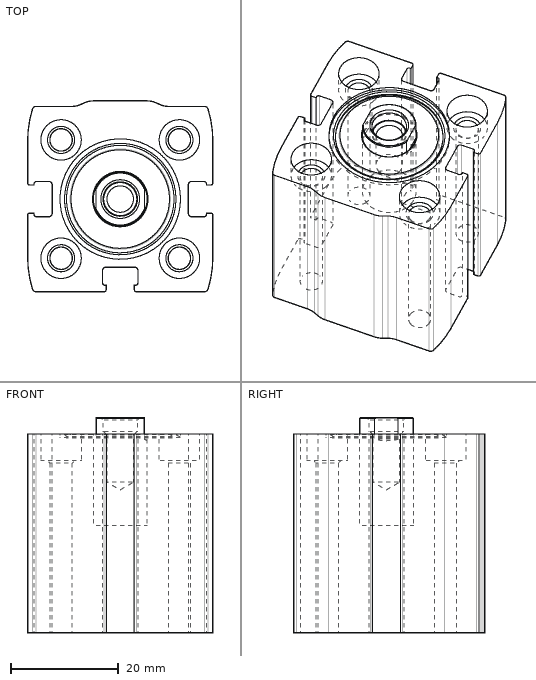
import cadquery as cq
import math

HOUSING_WIDTH = 34.5
HOUSING_HEIGHT = 37.0
SIDE_FLAT_HALF = 10.8
SIDE_ARC_RADIUS = 20.0
CORNER_RADIUS = 0.7
PAD_HEIGHT = 1.05
PAD_TOP_HALF = 5.8
PAD_FOOT_HALF = 8.2
PAD_BLEND_RADIUS = 4.0

SLOT_MOUTH_WIDTH = 5.2
SLOT_INNER_WIDTH = 6.5
SLOT_DEPTH = 4.55
SLOT_LIP = 1.25
SLOT_CORNER_RADIUS = 0.6
SLOT_LIP_RADIUS = 0.4
SLOT_MOUTH_RADIUS = 0.4
SLOT_ANGLES = (-90, 0, 180)

HOLE_OFFSET = 11.0
COUNTERBORE_DIAMETER = 7.5
COUNTERBORE_DEPTH = 5.0
COUNTERSINK_DIAMETER = 5.05
THROUGH_DIAMETER = 4.1

BORE_DIAMETER = 22.4
RIDGE_DIAMETER = 20.7
RIDGE_DEPTH = 0.15
RIDGE_OUTER_ANGLE = 31.0
RIDGE_INNER_ANGLE = 40.0
GROOVE_DIAMETER = 20.0
CAP_SLOPE_ANGLE = 40.0
CAP_DIAMETER = 18.65
CAP_CHAMFER = 0.15
ROD_BORE_CHAMFER = 0.15

ROD_DIAMETER = 10.0
ROD_TOP = 40.0
ROD_LENGTH = 20.0
ROD_CHAMFER = 0.15
ACROSS_FLATS = 9.0
FLAT_LENGTH = 4.0
FLAT_RUNOUT_ANGLE = 30.0
SOCKET_DIAMETER = 6.4
SOCKET_MOUTH_DIAMETER = 7.2
SOCKET_DEPTH = 2.6
SOCKET_LEDGE = 0.1
DRILL_DIAMETER = 4.9
DRILL_DEPTH = 12.0
TIP_HALF_ANGLE = 60.0

half_width = HOUSING_WIDTH / 2
rod_bottom = ROD_TOP - ROD_LENGTH


def slope_rise(run, angle):
    """Height gained over a horizontal run on a slope at an angle in degrees."""
    return run * math.tan(math.radians(angle))


def side_point(y):
    """Point on the curved end of the +X side, at distance y from the X axis."""
    reach = y - SIDE_FLAT_HALF
    inset = SIDE_ARC_RADIUS - math.sqrt(SIDE_ARC_RADIUS**2 - reach**2)
    return half_width - inset, y


def housing_blank():
    mid_x, mid_y = side_point((SIDE_FLAT_HALF + half_width) / 2)
    corner_x, corner_y = side_point(half_width)
    pad_top = half_width + PAD_HEIGHT
    blank = (
        cq.Workplane("XY")
        .moveTo(corner_x, -corner_y)
        .threePointArc((mid_x, -mid_y), (half_width, -SIDE_FLAT_HALF))
        .lineTo(half_width, SIDE_FLAT_HALF)
        .threePointArc((mid_x, mid_y), (corner_x, corner_y))
        .lineTo(PAD_FOOT_HALF, half_width)
        .lineTo(PAD_TOP_HALF, pad_top)
        .lineTo(-PAD_TOP_HALF, pad_top)
        .lineTo(-PAD_FOOT_HALF, half_width)
        .lineTo(-corner_x, corner_y)
        .threePointArc((-mid_x, mid_y), (-half_width, SIDE_FLAT_HALF))
        .lineTo(-half_width, -SIDE_FLAT_HALF)
        .threePointArc((-mid_x, -mid_y), (-corner_x, -corner_y))
        .close()
        .extrude(HOUSING_HEIGHT)
    )
    mid_height = HOUSING_HEIGHT / 2
    for x in (-corner_x, corner_x):
        for y in (-corner_y, corner_y):
            corner = cq.NearestToPointSelector((x, y, mid_height))
            blank = blank.edges("|Z").edges(corner).fillet(CORNER_RADIUS)
    margin = PAD_HEIGHT / 2
    pad_box = cq.selectors.BoxSelector(
        (-PAD_FOOT_HALF - margin, half_width - margin, 0),
        (PAD_FOOT_HALF + margin, pad_top + margin, HOUSING_HEIGHT),
    )
    return blank.edges("|Z").edges(pad_box).fillet(PAD_BLEND_RADIUS)


def t_slot(angle):
    """T-slot opening towards +X, turned to the given direction about the Z axis."""
    chamber_length = SLOT_DEPTH - SLOT_LIP
    chamber = (
        cq.Workplane("XY")
        .box(chamber_length, SLOT_INNER_WIDTH, HOUSING_HEIGHT, centered=(False, True, False))
        .edges("|Z and <X")
        .fillet(SLOT_CORNER_RADIUS)
        .edges("|Z and >X")
        .fillet(SLOT_LIP_RADIUS)
        .translate((half_width - SLOT_DEPTH, 0, 0))
    )
    mouth_half = SLOT_MOUTH_WIDTH / 2
    lip_start = half_width - SLOT_LIP
    round_start = half_width - SLOT_MOUTH_RADIUS
    flared_half = mouth_half + SLOT_MOUTH_RADIUS
    arc_mid_x = round_start + SLOT_MOUTH_RADIUS * math.sin(math.radians(45))
    arc_mid_y = flared_half - SLOT_MOUTH_RADIUS * math.cos(math.radians(45))
    mouth = (
        cq.Workplane("XY")
        .moveTo(lip_start, -mouth_half)
        .lineTo(round_start, -mouth_half)
        .threePointArc((arc_mid_x, -arc_mid_y), (half_width, -flared_half))
        .lineTo(half_width, flared_half)
        .threePointArc((arc_mid_x, arc_mid_y), (round_start, mouth_half))
        .lineTo(lip_start, mouth_half)
        .close()
        .extrude(HOUSING_HEIGHT)
    )
    return chamber.union(mouth).rotate((0, 0, 0), (0, 0, 1), angle)


def mounting_hole():
    """Stepped hole on the Z axis: counterbore, 45 degree countersink and through hole."""
    seat = HOUSING_HEIGHT - COUNTERBORE_DEPTH
    through_radius = THROUGH_DIAMETER / 2
    countersink_radius = COUNTERSINK_DIAMETER / 2
    counterbore_radius = COUNTERBORE_DIAMETER / 2
    return (
        cq.Workplane("XZ")
        .polyline([
            (0, 0),
            (through_radius, 0),
            (through_radius, seat - (countersink_radius - through_radius)),
            (countersink_radius, seat),
            (counterbore_radius, seat),
            (counterbore_radius, HOUSING_HEIGHT),
            (0, HOUSING_HEIGHT),
        ])
        .close()
        .revolve(360, (0, 0), (0, 1))
    )


def cap_grooves():
    """Two sloped ring grooves, with a sharp ridge between them, around the cap face."""
    bore_radius = BORE_DIAMETER / 2
    ridge_radius = RIDGE_DIAMETER / 2
    groove_radius = GROOVE_DIAMETER / 2
    cap_radius = CAP_DIAMETER / 2
    ridge_z = HOUSING_HEIGHT - RIDGE_DEPTH
    cap_edge_z = HOUSING_HEIGHT - CAP_CHAMFER
    return (
        cq.Workplane("XZ")
        .polyline([
            (bore_radius, HOUSING_HEIGHT),
            (bore_radius, ridge_z - slope_rise(bore_radius - ridge_radius, RIDGE_OUTER_ANGLE)),
            (ridge_radius, ridge_z),
            (groove_radius, ridge_z - slope_rise(ridge_radius - groove_radius, RIDGE_INNER_ANGLE)),
            (groove_radius, cap_edge_z - slope_rise(groove_radius - cap_radius, CAP_SLOPE_ANGLE)),
            (cap_radius, cap_edge_z),
            (cap_radius - CAP_CHAMFER, HOUSING_HEIGHT),
        ])
        .close()
        .revolve(360, (0, 0), (0, 1))
    )


def rod_bore():
    """Blind bore for the rod, with a chamfered mouth."""
    rod_radius = ROD_DIAMETER / 2
    return (
        cq.Workplane("XZ")
        .polyline([
            (0, rod_bottom),
            (rod_radius, rod_bottom),
            (rod_radius, HOUSING_HEIGHT - ROD_BORE_CHAMFER),
            (rod_radius + ROD_BORE_CHAMFER, HOUSING_HEIGHT),
            (0, HOUSING_HEIGHT),
        ])
        .close()
        .revolve(360, (0, 0), (0, 1))
    )


def make_housing():
    housing = housing_blank()
    for angle in SLOT_ANGLES:
        housing = housing.cut(t_slot(angle))
    for x in (-HOLE_OFFSET, HOLE_OFFSET):
        for y in (-HOLE_OFFSET, HOLE_OFFSET):
            housing = housing.cut(mounting_hole().translate((x, y, 0)))
    return housing.cut(cap_grooves()).cut(rod_bore())


def rod_flat(direction):
    """Cutter for one wrench flat on the +X or -X side, with a sloped lower end."""
    flat_x = ACROSS_FLATS / 2
    rod_radius = ROD_DIAMETER / 2
    flat_end = ROD_TOP - FLAT_LENGTH
    return (
        cq.Workplane("XZ")
        .polyline([
            (direction * flat_x, ROD_TOP),
            (direction * flat_x, flat_end),
            (direction * rod_radius, flat_end - slope_rise(rod_radius - flat_x, FLAT_RUNOUT_ANGLE)),
            (direction * rod_radius, ROD_TOP),
        ])
        .close()
        .extrude(rod_radius, both=True)
    )


def rod_socket():
    """Chamfered socket, then a 45 degree countersink into a drilled hole with a conical tip."""
    mouth_radius = SOCKET_MOUTH_DIAMETER / 2
    socket_radius = SOCKET_DIAMETER / 2
    countersink_radius = socket_radius - SOCKET_LEDGE
    drill_radius = DRILL_DIAMETER / 2
    socket_bottom = ROD_TOP - SOCKET_DEPTH
    drill_bottom = ROD_TOP - DRILL_DEPTH
    tip_height = drill_radius / math.tan(math.radians(TIP_HALF_ANGLE))
    return (
        cq.Workplane("XZ")
        .polyline([
            (0, ROD_TOP),
            (mouth_radius, ROD_TOP),
            (socket_radius, ROD_TOP - (mouth_radius - socket_radius)),
            (socket_radius, socket_bottom),
            (countersink_radius, socket_bottom),
            (drill_radius, socket_bottom - (countersink_radius - drill_radius)),
            (drill_radius, drill_bottom),
            (0, drill_bottom - tip_height),
        ])
        .close()
        .revolve(360, (0, 0), (0, 1))
    )


def make_rod():
    rod = (
        cq.Workplane("XY")
        .workplane(offset=rod_bottom)
        .circle(ROD_DIAMETER / 2)
        .extrude(ROD_LENGTH)
        .faces(">Z")
        .chamfer(ROD_CHAMFER)
    )
    for direction in (-1, 1):
        rod = rod.cut(rod_flat(direction))
    return rod.cut(rod_socket())


housing = make_housing()
rod = make_rod()

result = cq.Compound.makeCompound([housing.val(), rod.val()])